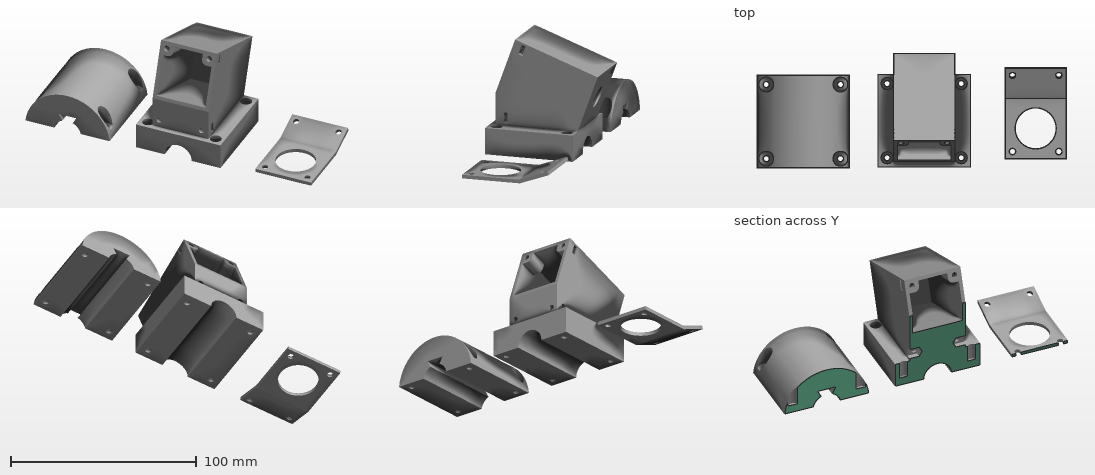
import cadquery as cq
import math

overall_length = 166.5
tilt = 20.0
block_length = 50.0
clamp_bore_radius = 8.0
clamp_hole_pitch = 40.0
clamp_hole_diameter = 3.2
face_width = 33.0
face_height = 33.0
face_hole_pitch = 25.0
face_hole_inset = 4.0

tilt_sin = math.sin(math.radians(tilt))
tilt_cos = math.cos(math.radians(tilt))
clamp_hole_points = [
    (x * clamp_hole_pitch / 2, y * clamp_hole_pitch / 2) for x in (-1, 1) for y in (-1, 1)
]

cap_radius = 25.0
cap_axis_drop = 2.5
cap_bore_drop = 1.7
cap_counterbore_diameter = 8.0
cap_counterbore_floor = 5.0
groove_neck_width = 6.2
groove_top_width = 10.3
groove_top = 9.5
cap_y = -0.5
cap_half_width = math.sqrt(cap_radius**2 - cap_axis_drop**2)

base_x = 65.0
base_width = 50.0
base_height = 14.6
base_counterbore_diameter = 6.5
base_counterbore_floor = 5.0
box_length = 50.0
box_lift = 0.3
upright_hole_height = 4.3
box_wall = 2.0
lens_hole_diameter = 12.3
boss_size = 8.0
boss_depth = 10.0
boss_round = 3.0
box_hole_diameter = 3.2
nut_width = 5.7
nut_thickness = 2.5
nut_depth = 4.3

rear_y = block_length / 2
front_face_y = rear_y - box_length * tilt_cos
bend_z = base_height + box_lift + box_length * tilt_sin

plate_x = overall_length - cap_half_width - face_width / 2
plate_y = -20.6
plate_thickness = 2.0
tab_length = 17.5
plate_hole_diameter = 3.3
window_diameter = 22.0


def clamp_cap():
    cap = (
        cq.Workplane("XZ", origin=(0, block_length / 2, 0))
        .moveTo(-cap_half_width, 0)
        .threePointArc((0, cap_radius - cap_axis_drop), (cap_half_width, 0))
        .close()
        .extrude(block_length)
    )
    bore = (
        cq.Workplane("XZ", origin=(0, block_length / 2, 0))
        .center(0, -cap_bore_drop)
        .circle(clamp_bore_radius)
        .extrude(block_length)
    )
    neck_z = math.sqrt(clamp_bore_radius**2 - (groove_neck_width / 2) ** 2) - cap_bore_drop
    groove = (
        cq.Workplane("XZ", origin=(0, block_length / 2, 0))
        .polyline([
            (-groove_neck_width / 2, 0),
            (-groove_neck_width / 2, neck_z),
            (-groove_top_width / 2, groove_top),
            (groove_top_width / 2, groove_top),
            (groove_neck_width / 2, neck_z),
            (groove_neck_width / 2, 0),
        ])
        .close()
        .extrude(block_length)
    )
    cap = cap.cut(bore).cut(groove)
    return clamp_screws(cap, cap_counterbore_diameter, cap_counterbore_floor, cap_radius)


def clamp_screws(block, counterbore_diameter, floor_z, top_z):
    """Cut the four clamp screw holes, with counterbores open to the top."""
    holes = cq.Workplane("XY").pushPoints(clamp_hole_points).circle(clamp_hole_diameter / 2).extrude(top_z)
    counterbores = (
        cq.Workplane("XY", origin=(0, 0, floor_z))
        .pushPoints(clamp_hole_points)
        .circle(counterbore_diameter / 2)
        .extrude(top_z - floor_z)
    )
    return block.cut(holes).cut(counterbores)


def clamp_base():
    base = cq.Workplane("XY").box(base_width, block_length, base_height, centered=(True, True, False))
    bore = cq.Workplane("XZ", origin=(0, block_length / 2, 0)).circle(clamp_bore_radius).extrude(block_length)
    base = base.cut(bore)
    return clamp_screws(base, base_counterbore_diameter, base_counterbore_floor, base_height)


upright_plane = cq.Plane(origin=(0, front_face_y, base_height), xDir=(1, 0, 0), normal=(0, -1, 0))
opening_plane = cq.Plane(
    origin=(0, front_face_y, bend_z), xDir=(1, 0, 0), normal=(0, -tilt_cos, tilt_sin)
)


def box_shell():
    """Tilted box on a solid wedge that joins it to the base."""
    rise_y = face_height * tilt_sin
    rise_z = face_height * tilt_cos
    return (
        cq.Workplane("YZ")
        .polyline([
            (front_face_y, base_height),
            (front_face_y, bend_z),
            (front_face_y + rise_y, bend_z + rise_z),
            (rear_y + rise_y, base_height + box_lift + rise_z),
            (rear_y, base_height + box_lift),
            (rear_y, base_height),
        ])
        .close()
        .extrude(face_width / 2, both=True)
    )


def box_cavity():
    """Inside of the box, less the two screw bosses in its upper front corners."""
    cavity = (
        cq.Workplane(opening_plane)
        .center(0, face_height / 2)
        .rect(face_width - 2 * box_wall, face_height - 2 * box_wall)
        .extrude(-(box_length - box_wall))
    )
    for side in (-1, 1):
        boss = (
            cq.Workplane(opening_plane)
            .center(side * (face_width - boss_size) / 2, face_height - boss_size / 2)
            .rect(boss_size, boss_size)
            .extrude(-boss_depth)
        )
        inner_edge = cq.selectors.NearestToPointSelector(
            opening_plane.toWorldCoords(
                (side * (face_width / 2 - boss_size), face_height - boss_size, -boss_depth / 2)
            ).toTuple()
        )
        cavity = cavity.cut(boss.edges(inner_edge).fillet(boss_round))
    return cavity


def lens_hole():
    return (
        cq.Workplane(opening_plane)
        .center(0, face_height / 2)
        .circle(lens_hole_diameter / 2)
        .extrude(-box_length)
    )


def nut_screw(face_plane, height, side):
    """Screw hole as deep as a boss, crossed by a nut slot that is open to the side of the box."""
    x = side * face_hole_pitch / 2
    tip = nut_width / math.sqrt(3)
    outer_x = side * face_width / 2
    hole = (
        cq.Workplane(face_plane)
        .center(x, height)
        .circle(box_hole_diameter / 2)
        .extrude(-boss_depth)
    )
    slot = (
        cq.Workplane(face_plane)
        .workplane(offset=-nut_depth)
        .polyline([
            (outer_x, height - nut_width / 2),
            (x - side * tip / 2, height - nut_width / 2),
            (x - side * tip, height),
            (x - side * tip / 2, height + nut_width / 2),
            (outer_x, height + nut_width / 2),
        ])
        .close()
        .extrude(-nut_thickness)
    )
    return hole.union(slot)


def camera_base():
    body = clamp_base().union(box_shell()).cut(box_cavity()).cut(lens_hole())
    for side in (-1, 1):
        body = body.cut(nut_screw(opening_plane, face_height - face_hole_inset, side))
        body = body.cut(nut_screw(upright_plane, upright_hole_height, side))
    return body


def cover_plate():
    """Flat plate over the opening, with a bent-up tab that covers the upright face."""
    bend_shift = plate_thickness * math.tan(math.radians(tilt / 2))
    tab_end_y = face_height + tab_length * tilt_cos
    tab_end_z = tab_length * tilt_sin
    plate = (
        cq.Workplane("YZ")
        .polyline([
            (0, 0),
            (face_height, 0),
            (tab_end_y, tab_end_z),
            (tab_end_y - plate_thickness * tilt_sin, tab_end_z + plate_thickness * tilt_cos),
            (face_height - bend_shift, plate_thickness),
            (0, plate_thickness),
        ])
        .close()
        .extrude(face_width / 2, both=True)
    )
    window = (
        cq.Workplane("XY").center(0, face_height / 2).circle(window_diameter / 2).extrude(plate_thickness)
    )
    tab_plane = cq.Plane(
        origin=(0, face_height, 0), xDir=(1, 0, 0), normal=(0, -tilt_sin, tilt_cos)
    )
    flat_holes = plate_holes(cq.Plane.XY(), face_hole_inset)
    tab_holes = plate_holes(tab_plane, tab_length - face_hole_inset)
    return plate.cut(window).cut(flat_holes).cut(tab_holes)


def plate_holes(plane, y):
    points = [(side * face_hole_pitch / 2, y) for side in (-1, 1)]
    return cq.Workplane(plane).pushPoints(points).circle(plate_hole_diameter / 2).extrude(plate_thickness)


cap = clamp_cap().translate((0, cap_y, 0))
base = camera_base().translate((base_x, 0, 0))
plate = cover_plate().translate((plate_x, plate_y, 0))

result = cq.Compound.makeCompound([cap.val(), base.val(), plate.val()])